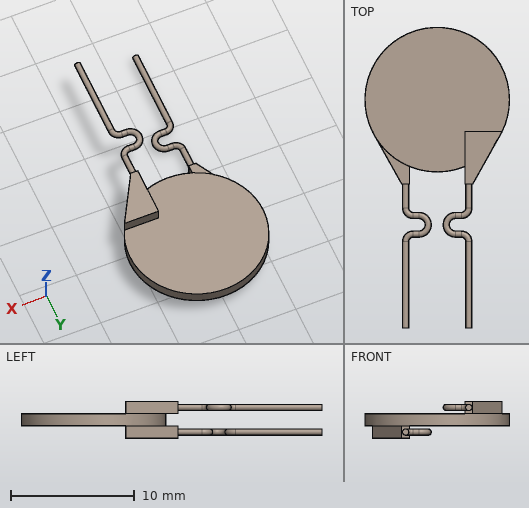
import cadquery as cq
import math

overall_length = 24.3
disc_diameter = 11.7
disc_thickness = 1.0
disc_radius = disc_diameter / 2

clip_thickness = 1.0
clip_top_y = -2.58
clip_bottom_y = -6.83
clip_inner_x = 2.24
clip_bottom_outer_x = 2.87
clip_top_outer_x = math.sqrt(disc_radius**2 - clip_top_y**2)

wire_diameter = 0.5
wire_x = 2.55
bend_start_y = -8.75
bend_radius = 0.6
kink_straight = 0.45
loop_radius = 0.75
wire_end_y = disc_radius - overall_length


def make_clip():
    """Clip on the upper face, on the +X side."""
    return (
        cq.Workplane("XY", origin=(0, 0, disc_thickness / 2))
        .moveTo(clip_inner_x, clip_top_y)
        .lineTo(clip_top_outer_x, clip_top_y)
        .lineTo(clip_bottom_outer_x, clip_bottom_y)
        .lineTo(clip_inner_x, clip_bottom_y)
        .close()
        .extrude(clip_thickness)
    )


def make_wire():
    """Wire leaving the upper clip at mid-thickness."""
    wire_z = (disc_thickness + clip_thickness) / 2
    bend_inner_x = wire_x - bend_radius
    loop_x = bend_inner_x - kink_straight
    upper_y = bend_start_y - bend_radius
    loop_y = upper_y - loop_radius
    lower_y = loop_y - loop_radius
    diagonal = bend_radius * math.sqrt(0.5)

    path = (
        cq.Workplane("XY", origin=(0, 0, wire_z))
        .moveTo(wire_x, clip_bottom_y)
        .lineTo(wire_x, bend_start_y)
        .threePointArc(
            (bend_inner_x + diagonal, bend_start_y - diagonal),
            (bend_inner_x, upper_y),
        )
        .lineTo(loop_x, upper_y)
        .threePointArc((loop_x - loop_radius, loop_y), (loop_x, lower_y))
        .lineTo(bend_inner_x, lower_y)
        .threePointArc(
            (bend_inner_x + diagonal, lower_y - bend_radius + diagonal),
            (wire_x, lower_y - bend_radius),
        )
        .lineTo(wire_x, wire_end_y)
    )
    return (
        cq.Workplane("XZ", origin=(wire_x, clip_bottom_y, wire_z))
        .circle(wire_diameter / 2)
        .sweep(path)
    )


disc = (
    cq.Workplane("XY")
    .circle(disc_radius)
    .extrude(disc_thickness / 2, both=True)
)
upper_terminal = make_clip().union(make_wire())

lower_terminal = upper_terminal.rotate((0, 0, 0), (0, 1, 0), 180)

result = disc.union(upper_terminal).union(lower_terminal)